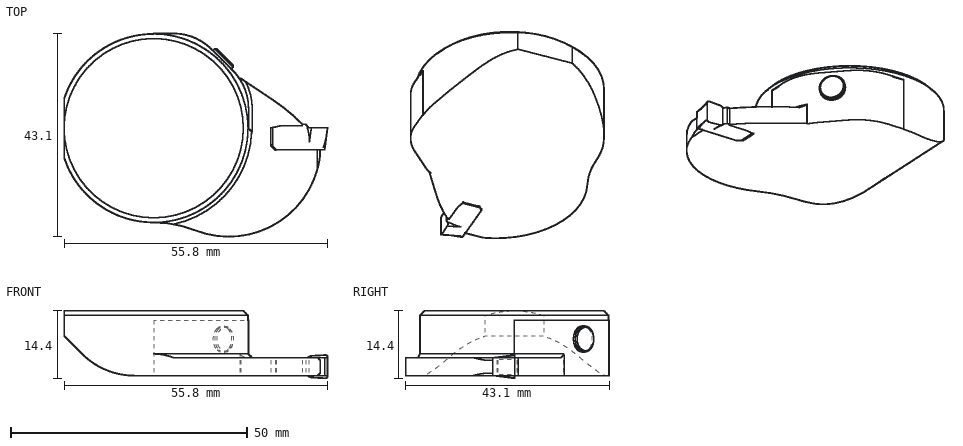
import cadquery as cq
import math


OVERALL_LENGTH = 55.8

TURN = math.radians(45)

HOUSING_RADIUS = 20.0
HOUSING_HEIGHT = 13.8
TOP_CHAMFER = 1.0
SIDE_FLAT_X = -(HOUSING_RADIUS - TOP_CHAMFER)
UNDERCUT_START_Z = 8.4
UNDERCUT_RADIUS = 15.75

BULGE_REACH = 20.1
BULGE_STRAIGHT = 4.15
BULGE_RADIUS = 11.5
BULGE_HEIGHT = 11.7

BLADE_HEIGHT = 3.85
BLADE_CENTRE = (15.9, -3.5)
BLADE_RADIUS = 19.5
BLADE_END_X = 35.2
BLADE_END_CHAMFER = 0.55
BLADE_EDGE_LINE_START = (18.4, 10.55)
BLADE_EDGE_LINE_END = (25.45, 5.85)
BLADE_EDGE_MIDDLE = (28.55, 3.5)
BLADE_EDGE_END = (31.45, 0.85)
FLARE = 0.8
FLARE_ANGLE = 45

BUTTON_DIAMETER = 5.5
BUTTON_HEIGHT = 0.85
BUTTON_EDGE = 0.3
BUTTON_Z = (BLADE_HEIGHT + BULGE_HEIGHT) / 2

INSERT_TIP_X = SIDE_FLAT_X + OVERALL_LENGTH
INSERT_LEFT_X = 24.85
INSERT_BOTTOM_Y = -4.6
CUTTING_Y = 0.1
INSERT_TOP_Y = 0.5
INSERT_CORNER = 1.1
INSERT_SHOULDER_X = 26.9
INSERT_SHOULDER_DROP = 0.45
INSERT_END_BEVEL = 0.35
POCKET_CORNER = 0.9
BUMP_TOP_Y = 0.85
BUMP_END_X = 32.2
TIP_START_X = 32.8
TIP_DEPTH = CUTTING_Y - INSERT_BOTTOM_Y
TIP_OVERHANG = 0.55
TIP_BACK_TAPER = 0.15
TIP_NARROWING = 0.6
TIP_END_RELIEF = 0.6
TIP_CORNER = 0.5
TIP_RAMP_START_X = 32.55
TIP_RAMP_END_X = 33.35
MID_Z = BLADE_HEIGHT / 2


def bulge_corner():
    """Point where the upper rounding of the bulge meets its 45 degree face."""
    turn = BULGE_RADIUS * math.sin(TURN)
    return (BULGE_STRAIGHT + turn, BULGE_REACH - BULGE_RADIUS + turn)


def bulge_outline():
    """Outline of the bulge: two straight sides rounded into a 45 degree face."""
    half_turn = BULGE_RADIUS * math.sin(TURN / 2)
    half_rise = BULGE_RADIUS * math.cos(TURN / 2)
    arc_y = BULGE_REACH - BULGE_RADIUS
    start = (BULGE_STRAIGHT, BULGE_REACH)
    middle = (BULGE_STRAIGHT + half_turn, arc_y + half_rise)
    end = bulge_corner()
    return (
        cq.Workplane("XY")
        .moveTo(0, 0)
        .lineTo(0, BULGE_REACH)
        .lineTo(*start)
        .threePointArc(middle, end)
        .lineTo(*reversed(end))
        .threePointArc(tuple(reversed(middle)), tuple(reversed(start)))
        .lineTo(BULGE_REACH, 0)
        .close()
    )


def make_button():
    face = sum(bulge_corner()) / 2
    plane = cq.Plane(origin=(face, face, BUTTON_Z), xDir=(-1, 1, 0), normal=(1, 1, 0))
    return (
        cq.Workplane(plane)
        .circle(BUTTON_DIAMETER / 2)
        .extrude(BUTTON_HEIGHT)
        .faces(">(1, 1, 0)")
        .chamfer(BUTTON_EDGE)
    )


def make_drum():
    return (
        cq.Workplane("XY")
        .circle(HOUSING_RADIUS)
        .extrude(HOUSING_HEIGHT)
        .faces(">Z")
        .chamfer(TOP_CHAMFER)
    )


def make_undercut():
    """Everything left of the side flat and below the 45 degree, rounded underside."""
    turn = UNDERCUT_RADIUS * math.sin(TURN)
    half_turn = UNDERCUT_RADIUS * math.sin(TURN / 2)
    half_rise = UNDERCUT_RADIUS * (1 - math.cos(TURN / 2))
    arc_start_z = UNDERCUT_RADIUS - turn
    arc_start_x = SIDE_FLAT_X + UNDERCUT_START_Z - arc_start_z
    arc_end_x = arc_start_x + turn
    outside = -2 * HOUSING_RADIUS
    return (
        cq.Workplane("XZ")
        .moveTo(SIDE_FLAT_X, HOUSING_HEIGHT)
        .lineTo(SIDE_FLAT_X, UNDERCUT_START_Z)
        .lineTo(arc_start_x, arc_start_z)
        .threePointArc((arc_end_x - half_turn, half_rise), (arc_end_x, 0))
        .lineTo(outside, 0)
        .lineTo(outside, HOUSING_HEIGHT)
        .close()
        .extrude(2 * HOUSING_RADIUS, both=True)
    )


def make_blade_prism(height):
    """Blade outline: a concave arc off the housing, the large round end, then the upper edge."""
    centre_x, centre_y = BLADE_CENTRE
    start_y = -HOUSING_RADIUS
    rise = centre_y - start_y
    neck_radius = (centre_x ** 2 + rise ** 2 - BLADE_RADIUS ** 2) / (2 * (BLADE_RADIUS - rise))
    neck_y = start_y - neck_radius
    share = neck_radius / (neck_radius + BLADE_RADIUS)
    neck_end = (share * centre_x, neck_y + share * (centre_y - neck_y))
    half_angle = math.asin(neck_end[0] / neck_radius) / 2
    neck_middle = (neck_radius * math.sin(half_angle), neck_y + neck_radius * math.cos(half_angle))
    round_end_x = centre_x + math.sqrt(BLADE_RADIUS ** 2 - (INSERT_BOTTOM_Y - centre_y) ** 2)
    return (
        cq.Workplane("XY")
        .moveTo(0, start_y)
        .threePointArc(neck_middle, neck_end)
        .threePointArc((centre_x, centre_y - BLADE_RADIUS), (round_end_x, INSERT_BOTTOM_Y))
        .lineTo(BLADE_EDGE_END[0], INSERT_BOTTOM_Y)
        .lineTo(*BLADE_EDGE_END)
        .threePointArc(BLADE_EDGE_MIDDLE, BLADE_EDGE_LINE_END)
        .lineTo(*BLADE_EDGE_LINE_START)
        .lineTo(0, 0)
        .close()
        .extrude(height)
    )


def make_blade_end():
    """Block that squares off the blade tip and bevels its upper and lower edges."""
    bevel_x = BLADE_END_X - BLADE_END_CHAMFER
    return (
        cq.Workplane("XZ")
        .polyline([
            (0, 0),
            (bevel_x, 0),
            (BLADE_END_X, BLADE_END_CHAMFER),
            (BLADE_END_X, BLADE_HEIGHT - BLADE_END_CHAMFER),
            (bevel_x, BLADE_HEIGHT),
            (0, BLADE_HEIGHT),
        ])
        .close()
        .extrude(2 * BLADE_RADIUS, both=True)
    )


def make_flare():
    """Bevelled foot around the housing wall, kept within the blade outline."""
    foot = cq.Workplane("XY", origin=(0, 0, BLADE_HEIGHT))
    drum_foot = foot.circle(HOUSING_RADIUS + FLARE).extrude(FLARE, taper=FLARE_ANGLE)
    bulge_foot = (
        bulge_outline()
        .offset2D(FLARE, "intersection")
        .extrude(FLARE, taper=FLARE_ANGLE)
        .translate((0, 0, BLADE_HEIGHT))
    )
    return drum_foot.union(bulge_foot).intersect(make_blade_prism(BLADE_HEIGHT + FLARE))


def make_pocket():
    return (
        cq.Workplane("XY")
        .polyline([
            (INSERT_LEFT_X, INSERT_BOTTOM_Y + POCKET_CORNER),
            (INSERT_LEFT_X + POCKET_CORNER, INSERT_BOTTOM_Y),
            (INSERT_TIP_X, INSERT_BOTTOM_Y),
            (INSERT_TIP_X, INSERT_TOP_Y),
            (INSERT_SHOULDER_X, INSERT_TOP_Y),
            (INSERT_LEFT_X, INSERT_TOP_Y - INSERT_SHOULDER_DROP),
        ])
        .close()
        .extrude(BLADE_HEIGHT)
    )


def make_housing():
    blade = make_blade_prism(BLADE_HEIGHT).intersect(make_blade_end())
    return (
        make_drum()
        .union(bulge_outline().extrude(BULGE_HEIGHT))
        .union(make_button())
        .union(blade)
        .union(make_flare())
        .cut(make_undercut())
        .cut(make_pocket())
        .clean()
    )


def make_shank():
    """Insert body, flush with both faces of the blade."""
    return (
        cq.Workplane("XY")
        .polyline([
            (INSERT_LEFT_X, INSERT_BOTTOM_Y + INSERT_CORNER),
            (INSERT_LEFT_X + INSERT_CORNER, INSERT_BOTTOM_Y),
            (INSERT_TIP_X - TIP_END_RELIEF, INSERT_BOTTOM_Y),
            (INSERT_TIP_X, CUTTING_Y),
            (TIP_START_X, CUTTING_Y),
            (BUMP_END_X, BUMP_TOP_Y),
            (BLADE_EDGE_END[0], BUMP_TOP_Y),
            (BLADE_EDGE_END[0], INSERT_TOP_Y),
            (INSERT_SHOULDER_X, INSERT_TOP_Y),
            (INSERT_LEFT_X, INSERT_TOP_Y - INSERT_SHOULDER_DROP),
        ])
        .close()
        .extrude(BLADE_HEIGHT)
        .faces("<X")
        .edges("|Y")
        .chamfer(INSERT_END_BEVEL)
    )


def tip_outline(sketch, narrowing, end_relief):
    """Symmetric tip outline in X and Z, every upper and lower edge pulled in by the narrowing."""
    front = MID_Z + TIP_OVERHANG - narrowing
    end_x = INSERT_TIP_X - end_relief
    corner_inset = TIP_CORNER * (1 - math.sqrt(0.5))
    half = [
        (TIP_RAMP_START_X, MID_Z - narrowing),
        (TIP_RAMP_END_X - narrowing, front - TIP_BACK_TAPER),
        (end_x - TIP_CORNER, front),
    ]
    lower_half = [(x, -z) for x, z in reversed(half)]
    return (
        sketch
        .polyline(half)
        .threePointArc((end_x - corner_inset, front - corner_inset), (end_x, front - TIP_CORNER))
        .lineTo(end_x, TIP_CORNER - front)
        .threePointArc((end_x - corner_inset, corner_inset - front), lower_half[0])
        .polyline(lower_half, includeCurrent=False)
        .close()
    )


def make_tip():
    """Wide cutting tip that narrows away from its cutting face."""
    cutting_face = cq.Workplane("XZ", origin=(0, CUTTING_Y, MID_Z))
    front = tip_outline(cutting_face, 0, 0)
    back = tip_outline(front.workplane(offset=TIP_DEPTH), TIP_NARROWING, TIP_END_RELIEF)
    return back.loft(ruled=True)


housing = make_housing()
insert = make_shank().union(make_tip())

result = cq.Compound.makeCompound([housing.val(), insert.val()])